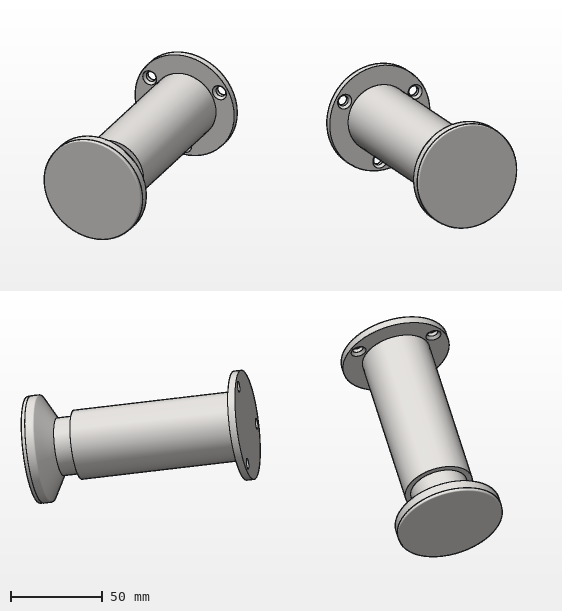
import cadquery as cq
import math

total_length = 120.0

flange_diameter = 60.0
flange_thickness = 4.1
hole_count = 3
hole_circle_radius = 24.4
hole_diameter = 5.8
countersink_diameter = 8.4
countersink_angle = 75.0
first_hole_angle = 30.0

tube_diameter = 38.0
neck_diameter = 31.8
tube_start = 25.0
neck_start = 15.1

foot_diameter = 59.0
shoulder_height = 7.1
shoulder_fillet = 1.1
sole_thickness = 2.2
sole_diameter = 58.8
sole_fillet = 0.6


def cylinder_along_y(diameter, start, end):
    """Solid cylinder on the Y axis between two Y positions."""
    return cq.Workplane("XZ", origin=(0, start, 0)).circle(diameter / 2).extrude(start - end)


def make_foot():
    """Sole with a rounded edge, below a rim rounded into the conical shoulder."""
    rim_radius = foot_diameter / 2
    selection_margin = 0.1
    profile = (
        cq.Workplane("XY")
        .moveTo(0, sole_thickness)
        .lineTo(rim_radius, sole_thickness)
        .lineTo(rim_radius, shoulder_height)
        .lineTo(neck_diameter / 2, neck_start)
        .lineTo(0, neck_start)
        .close()
    )
    rim = profile.revolve(360, (0, 0, 0), (0, 1, 0))
    shoulder_edge = cq.selectors.BoxSelector(
        (-rim_radius, shoulder_height - selection_margin, -rim_radius),
        (rim_radius, shoulder_height + selection_margin, rim_radius),
    )
    rim = rim.edges(shoulder_edge).fillet(shoulder_fillet)
    sole = cylinder_along_y(sole_diameter, 0, sole_thickness).faces("<Y").fillet(sole_fillet)
    return rim.union(sole)


def make_flange():
    """Round plate with screw holes countersunk from the foot side."""
    flange_start = total_length - flange_thickness
    plate = cylinder_along_y(flange_diameter, flange_start, total_length)
    hole_centers = []
    for index in range(hole_count):
        angle = math.radians(first_hole_angle + index * 360 / hole_count)
        hole_centers.append((hole_circle_radius * math.cos(angle), hole_circle_radius * math.sin(angle)))
    return (
        cq.Workplane("XZ", origin=(0, flange_start, 0))
        .add(plate)
        .pushPoints(hole_centers)
        .cskHole(hole_diameter, countersink_diameter, countersink_angle)
    )


neck = cylinder_along_y(neck_diameter, neck_start, tube_start)
tube = cylinder_along_y(tube_diameter, tube_start, total_length - flange_thickness)
result = make_foot().union(neck).union(tube).union(make_flange())